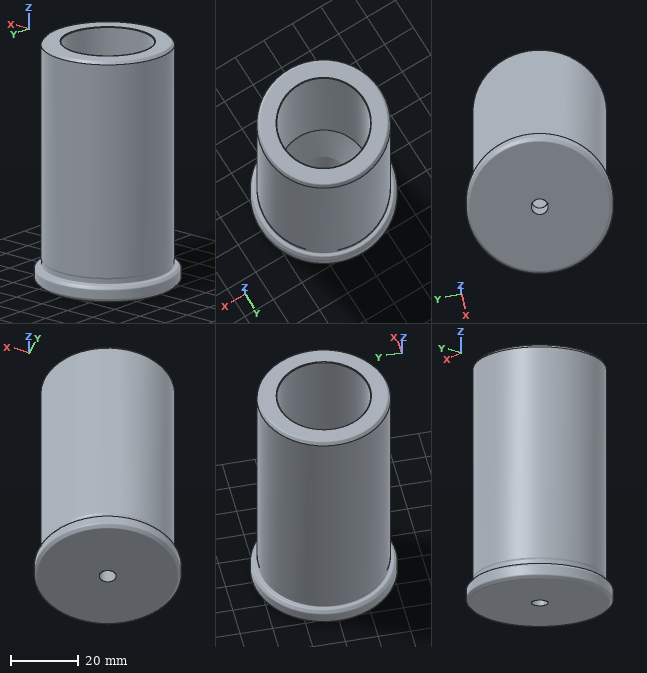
import cadquery as cq
import math

height = 75.0
body_radius = 40.0 / 2
top_chamfer_height = 1.0
top_chamfer_width = 0.75

flange_radius = 44.0 / 2
flange_height = 5.0
flange_chamfer = 1.0

groove_radius = 39.7 / 2
groove_taper_start = 6.7
groove_top = 7.2

corner_round = 0.5
groove_root_round = 0.3

bore_radius = 28.0 / 2
bore_chamfer = 0.2
throat_radius = 15.0 / 2
outlet_radius = 5.0 / 2
outlet_length = 5.0
upper_cone_slope = math.radians(45)
lower_cone_slope = math.radians(60)
throat_height = outlet_length + (throat_radius - outlet_radius) * math.tan(lower_cone_slope)
bore_floor = throat_height + (bore_radius - throat_radius) * math.tan(upper_cone_slope)

half_section = (
    cq.Workplane("XZ")
    .moveTo(outlet_radius, 0)
    .lineTo(flange_radius - flange_chamfer, 0)
    .lineTo(flange_radius, flange_chamfer)
    .lineTo(flange_radius, flange_height - flange_chamfer)
    .lineTo(flange_radius - flange_chamfer, flange_height)
    .lineTo(groove_radius, flange_height)
    .lineTo(groove_radius, groove_taper_start)
    .lineTo(body_radius, groove_top)
    .lineTo(body_radius, height - top_chamfer_height)
    .lineTo(body_radius - top_chamfer_width, height)
    .lineTo(bore_radius + bore_chamfer, height)
    .lineTo(bore_radius, height - bore_chamfer)
    .lineTo(bore_radius, bore_floor)
    .lineTo(throat_radius, throat_height)
    .lineTo(outlet_radius, outlet_length)
    .close()
)
sleeve = half_section.revolve(360, (0, 0, 0), (0, 1, 0))


def round_edge(body, edge_radius, edge_height, round_radius):
    """Round the circular edge of the given radius and height."""
    tolerance = 0.01
    edges = [
        edge
        for edge in body.edges("%CIRCLE").vals()
        if abs(edge.radius() - edge_radius) < tolerance
        and abs(edge.Center().z - edge_height) < tolerance
    ]
    return body.newObject(edges).fillet(round_radius)


rounded_corners = [
    (flange_radius - flange_chamfer, 0),
    (flange_radius, flange_chamfer),
    (flange_radius, flange_height - flange_chamfer),
    (flange_radius - flange_chamfer, flange_height),
    (body_radius - top_chamfer_width, height),
]
for corner_radius, corner_height in rounded_corners:
    sleeve = round_edge(sleeve, corner_radius, corner_height, corner_round)

result = round_edge(sleeve, groove_radius, flange_height, groove_root_round)